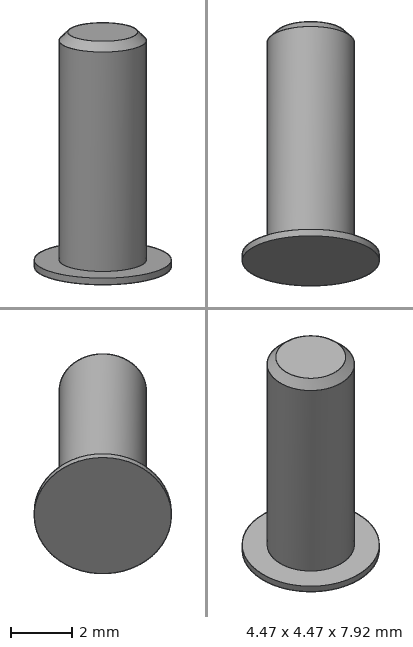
import cadquery as cq

total_height = 7.92
flange_diameter = 4.47
flange_thickness = 0.23
shank_diameter = 2.84
tip_chamfer = 0.285

flange = cq.Workplane("XY").circle(flange_diameter / 2).extrude(flange_thickness)

shank = (
    cq.Workplane("XY")
    .circle(shank_diameter / 2)
    .extrude(total_height)
    .faces(">Z")
    .chamfer(tip_chamfer)
)

result = flange.union(shank)